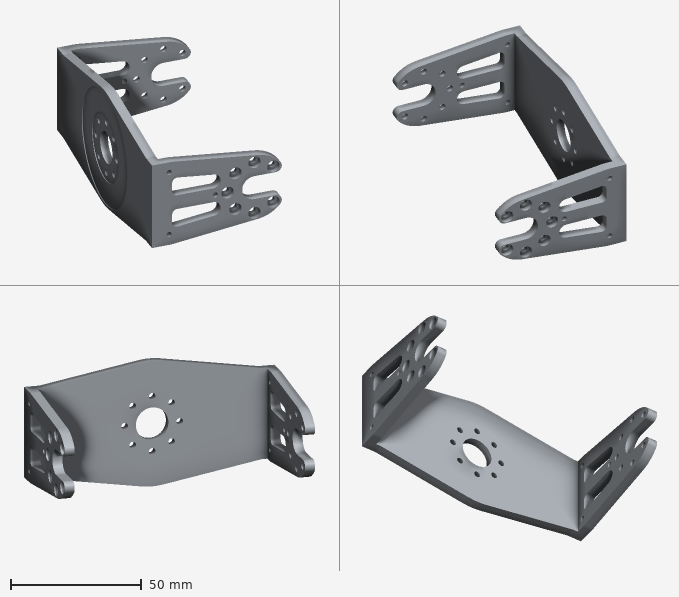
import cadquery as cq
import math


WIDTH = 100.0
THICKNESS = 4.0
END_HALF_HEIGHT = 18.0

CROWN_RADIUS = 25.0
SHOULDER_LENGTH = 6.2
OUTER_RECESS_DIAMETER = 48.0
OUTER_RECESS_DEPTH = 0.4
INNER_RECESS_DIAMETER = 28.2
INNER_RECESS_DEPTH = 0.7
CENTRE_BORE_DIAMETER = 13.0

BOLT_CIRCLE_RADIUS = 11.0
BOLT_COUNT = 8
BOLT_HOLE_DIAMETER = 2.6

HUB_Y = 42.0
HUB_RADIUS = 14.0
ROOT_LENGTH = 8.0
ROOT_BLEND_RADIUS = 8.0
FORK_SLOT_WIDTH = 10.0
FORK_TIP_RADIUS = 2.5
COUNTERBORE_DIAMETER = 5.0
COUNTERBORE_DEPTH = 2.0

PIN_DIAMETER = 2.2
PIN_POSITIONS = ((26.0, 0.0), (7.0, 13.5), (7.0, -13.5))

WINDOW_START_Y = 8.3
WINDOW_INNER_Z = 3.0
WINDOW_ROUND_RADIUS = 3.0
WINDOW_CORNER_RADIUS = 2.0
RAIL_WIDTH = 6.97


def tangent_angle(radius, across, along):
    """Polar angle of the point where a line from (across, along) touches a circle of this radius
    centred at the origin; of the two tangent points, the one at the larger angle."""
    return math.atan2(along, across) + math.acos(radius / math.hypot(across, along))


def polar(radius, angle):
    return radius * math.cos(angle), radius * math.sin(angle)


def base_plate():
    half_width = WIDTH / 2
    slope_x = half_width - SHOULDER_LENGTH
    crest_x, crest_z = polar(CROWN_RADIUS, tangent_angle(CROWN_RADIUS, slope_x, END_HALF_HEIGHT))
    outline = (
        cq.Workplane("XZ")
        .moveTo(half_width, -END_HALF_HEIGHT)
        .lineTo(half_width, END_HALF_HEIGHT)
        .lineTo(slope_x, END_HALF_HEIGHT)
        .lineTo(crest_x, crest_z)
        .threePointArc((0, CROWN_RADIUS), (-crest_x, crest_z))
        .lineTo(-slope_x, END_HALF_HEIGHT)
        .lineTo(-half_width, END_HALF_HEIGHT)
        .lineTo(-half_width, -END_HALF_HEIGHT)
        .lineTo(-slope_x, -END_HALF_HEIGHT)
        .lineTo(-crest_x, -crest_z)
        .threePointArc((0, -CROWN_RADIUS), (crest_x, -crest_z))
        .lineTo(slope_x, -END_HALF_HEIGHT)
        .close()
    )
    return outline.extrude(-THICKNESS)


def plate_cutters():
    front = cq.Workplane("XZ")
    outer_recess = front.circle(OUTER_RECESS_DIAMETER / 2).extrude(-OUTER_RECESS_DEPTH)
    inner_recess = front.circle(INNER_RECESS_DIAMETER / 2).extrude(-INNER_RECESS_DEPTH)
    bore = front.circle(CENTRE_BORE_DIAMETER / 2).extrude(-THICKNESS)
    bolts = (
        front.polarArray(BOLT_CIRCLE_RADIUS, 0, 360, BOLT_COUNT)
        .circle(BOLT_HOLE_DIAMETER / 2)
        .extrude(-THICKNESS)
    )
    return outer_recess.union(inner_recess).union(bore).union(bolts)


def arm_workplane():
    """Outer face of the -X arm, with local axes Y and Z and its normal pointing inwards."""
    return cq.Workplane("YZ", origin=(-WIDTH / 2, 0, 0))


TAPER_NORMAL = math.pi - tangent_angle(HUB_RADIUS, HUB_Y - ROOT_LENGTH, END_HALF_HEIGHT)


def arm_blank():
    edge_y, edge_z = polar(HUB_RADIUS, TAPER_NORMAL)
    slot_half = FORK_SLOT_WIDTH / 2
    blank = (
        arm_workplane()
        .moveTo(0, -END_HALF_HEIGHT)
        .lineTo(ROOT_LENGTH, -END_HALF_HEIGHT)
        .lineTo(HUB_Y + edge_y, -edge_z)
        .threePointArc((HUB_Y + HUB_RADIUS, 0), (HUB_Y + edge_y, edge_z))
        .lineTo(ROOT_LENGTH, END_HALF_HEIGHT)
        .lineTo(0, END_HALF_HEIGHT)
        .close()
        .extrude(THICKNESS)
    )
    root_corners = cq.selectors.BoxSelector(
        (-WIDTH, ROOT_LENGTH / 2, -WIDTH), (WIDTH, HUB_Y / 2, WIDTH)
    )
    blank = blank.edges("|X").edges(root_corners).fillet(ROOT_BLEND_RADIUS)
    slot = (
        arm_workplane()
        .moveTo(HUB_Y + HUB_RADIUS, -slot_half)
        .lineTo(HUB_Y, -slot_half)
        .threePointArc((HUB_Y - slot_half, 0), (HUB_Y, slot_half))
        .lineTo(HUB_Y + HUB_RADIUS, slot_half)
        .close()
        .extrude(THICKNESS)
    )
    return blank.cut(slot).edges("|X and >Y").fillet(FORK_TIP_RADIUS)


def arm_window():
    """Upper window: parallel to the rib below and to the tapered edge above, rounded at its far end."""
    normal_y, normal_z = polar(1, TAPER_NORMAL)
    upper_offset = HUB_RADIUS - RAIL_WIDTH

    def upper_edge_z(y):
        return (upper_offset - (y - HUB_Y) * normal_y) / normal_z

    round_z = WINDOW_INNER_Z + WINDOW_ROUND_RADIUS
    round_y = HUB_Y + (upper_offset - WINDOW_ROUND_RADIUS - round_z * normal_z) / normal_y
    touch_y, touch_z = polar(WINDOW_ROUND_RADIUS, TAPER_NORMAL)
    window = (
        arm_workplane()
        .moveTo(WINDOW_START_Y, WINDOW_INNER_Z)
        .lineTo(round_y, WINDOW_INNER_Z)
        .threePointArc((round_y + WINDOW_ROUND_RADIUS, round_z), (round_y + touch_y, round_z + touch_z))
        .lineTo(WINDOW_START_Y, upper_edge_z(WINDOW_START_Y))
        .close()
        .extrude(THICKNESS)
    )
    return window.edges("|X and <Y").fillet(WINDOW_CORNER_RADIUS)


def arm_hole_cutters():
    bolt_points = []
    for position in range(1, BOLT_COUNT):
        y, z = polar(BOLT_CIRCLE_RADIUS, 2 * math.pi * position / BOLT_COUNT)
        bolt_points.append((HUB_Y + y, z))
    outer_face = arm_workplane()
    bolts = outer_face.pushPoints(bolt_points).circle(BOLT_HOLE_DIAMETER / 2).extrude(THICKNESS)
    counterbores = (
        outer_face.pushPoints(bolt_points).circle(COUNTERBORE_DIAMETER / 2).extrude(COUNTERBORE_DEPTH)
    )
    pins = outer_face.pushPoints(PIN_POSITIONS).circle(PIN_DIAMETER / 2).extrude(THICKNESS)
    return bolts.union(counterbores).union(pins)


def arm():
    window = arm_window()
    return arm_blank().cut(window).cut(window.mirror("XY")).cut(arm_hole_cutters())


left_arm = arm()
right_arm = left_arm.mirror("YZ")
result = base_plate().cut(plate_cutters()).union(left_arm).union(right_arm).clean()